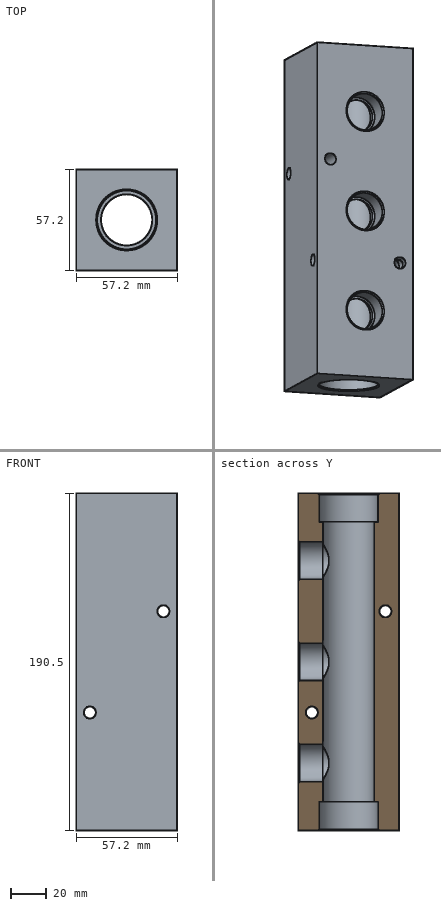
import cadquery as cq

height = 190.5
width = 57.2
half_width = width / 2

bore_diameter = 28.8
end_port_diameter = 33.1
end_port_depth = 16.2
end_port_mouth = 34.7

side_bore_diameter = 18.3
side_port_diameter = 21.0
side_port_depth = 14.0
side_port_mouth = 22.7
port_spacing = 57.2
mid_height = height / 2
side_port_heights = [mid_height + step * port_spacing for step in (-1, 0, 1)]

mount_diameter = 6.7
mount_offset = 20.8
mount_rise = port_spacing / 2


def cylinder(diameter, length, start, direction):
    return cq.Solid.makeCylinder(diameter / 2, length, cq.Vector(*start), cq.Vector(*direction))


def port_cutter(diameter, depth, mouth, start, direction):
    """Straight counterbore with a 45 degree chamfer at its mouth."""
    chamfer_depth = (mouth - diameter) / 2
    cone = cq.Solid.makeCone(
        mouth / 2, diameter / 2, chamfer_depth, cq.Vector(*start), cq.Vector(*direction)
    )
    return cylinder(diameter, depth, start, direction).fuse(cone)


result = cq.Workplane("XY").box(width, width, height, centered=(True, True, False))

result = result.cut(cq.Workplane(cylinder(bore_diameter, height, (0, 0, 0), (0, 0, 1))))
for end_height, inward in ((0, 1), (height, -1)):
    end_port = port_cutter(
        end_port_diameter, end_port_depth, end_port_mouth, (0, 0, end_height), (0, 0, inward)
    )
    result = result.cut(cq.Workplane(end_port))

for port_height in side_port_heights:
    start = (-half_width, 0, port_height)
    side_port = port_cutter(side_port_diameter, side_port_depth, side_port_mouth, start, (1, 0, 0))
    side_bore = cylinder(side_bore_diameter, half_width, start, (1, 0, 0))
    result = result.cut(cq.Workplane(side_port)).cut(cq.Workplane(side_bore))

for side in (-1, 1):
    offset = side * mount_offset
    hole_height = mid_height + side * mount_rise
    along_x = cylinder(mount_diameter, width, (-half_width, offset, hole_height), (1, 0, 0))
    along_y = cylinder(mount_diameter, width, (offset, -half_width, hole_height), (0, 1, 0))
    result = result.cut(cq.Workplane(along_x)).cut(cq.Workplane(along_y))